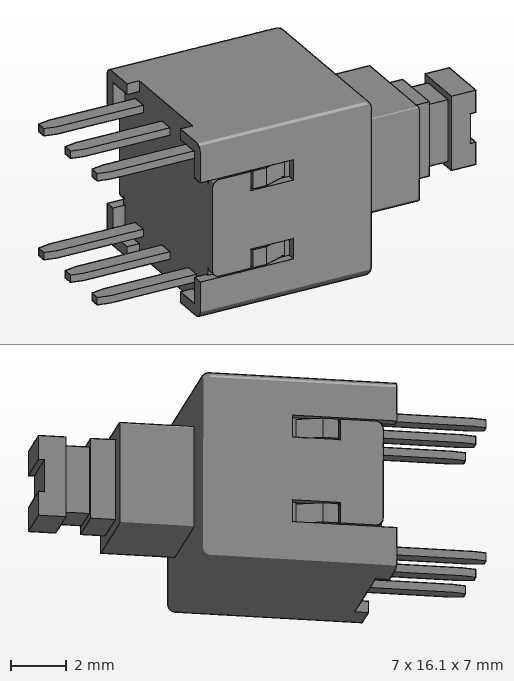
import cadquery as cq


housing_width = 7.0
housing_length = 6.6
housing_edge_radius = 0.3

foot_height = 0.5
foot_thickness = 0.43
foot_span = 1.5

tab_thickness = 0.33
tab_gap = 0.05
tab_corner_radius = 0.28

window_length = 1.75
window_height = 0.82
window_start = 1.56
latch_end_gap = 0.08
latch_flat_length = 0.56
latch_ramp_length = 0.92

bushing_width = 3.8
bushing_end = 9.3
bushing_edge_radius = 0.1
plunger_end = 12.1
plunger_width = 2.0
plunger_height = 3.0
head_length = 1.0
neck_length = 0.9
neck_width = 1.5
neck_height = 2.5
head_slot_height = 1.2
head_slot_depth = 0.22

pin_pitch = 2.0
pin_row_offset = 2.5
pin_length = 4.0
pin_width = 0.6
pin_thickness = 0.3
pin_tip_length = 0.5
pin_tip_inset = 0.1

half_width = housing_width / 2
foot_gap_half = half_width - foot_span
tab_half = foot_gap_half - tab_gap


def block(x_range, y_range, z_range):
    """Axis-aligned box given by its (low, high) limits on each axis."""
    limits = (x_range, y_range, z_range)
    sizes = [high - low for low, high in limits]
    corner = tuple(low for low, high in limits)
    return cq.Workplane("XY").box(*sizes, centered=False).translate(corner)


def centered_block(width, height, y_start, y_end):
    """Box centered on the plunger axis."""
    return block((-width / 2, width / 2), (y_start, y_end), (-height / 2, height / 2))


def make_housing():
    """Rounded housing whose pin end is cut back to leave the corner feet."""
    housing = centered_block(housing_width, housing_width, -foot_height, housing_length)
    housing = housing.edges("|Y").fillet(housing_edge_radius)
    housing = housing.faces(">Y").edges().fillet(housing_edge_radius)

    inner_width = housing_width - 2 * foot_thickness
    foot_gap = 2 * foot_gap_half
    for width, height in (
        (inner_width, inner_width),
        (foot_gap, housing_width),
        (housing_width, foot_gap),
    ):
        housing = housing.cut(centered_block(width, height, -foot_height, 0))
    return housing


def make_side_tab_gap():
    """Material removed around the rounded tab on the -X side."""
    x_range = (-half_width, -half_width + tab_thickness)
    y_range = (0, window_start)
    opening = block(x_range, y_range, (-foot_gap_half, foot_gap_half))
    tab = block(x_range, y_range, (-tab_half, tab_half))
    tab = tab.faces("<Y").edges("|X").fillet(tab_corner_radius)
    return opening.cut(tab)


def make_window_recess():
    """Upper window on the -X side, less the ramped latch standing in it."""
    outer_x = -half_width
    inner_x = outer_x + tab_thickness
    bottom_z = foot_gap_half - window_height
    recess = block(
        (outer_x, inner_x),
        (window_start, window_start + window_length),
        (bottom_z, foot_gap_half),
    )

    latch_start = window_start + latch_end_gap
    ramp_start = latch_start + latch_flat_length
    ramp_end = ramp_start + latch_ramp_length
    latch = (
        cq.Workplane("XY", origin=(0, 0, bottom_z + tab_gap))
        .moveTo(inner_x, latch_start)
        .lineTo(outer_x, latch_start)
        .lineTo(outer_x, ramp_start)
        .lineTo(inner_x, ramp_end)
        .close()
        .extrude(window_height - 2 * tab_gap)
    )
    return recess.cut(latch)


def cut_sides(housing):
    """Cut the tab gaps and latch windows into both sides."""
    upper_window = make_window_recess()
    for recess in (make_side_tab_gap(), upper_window, upper_window.mirror("XY")):
        housing = housing.cut(recess).cut(recess.mirror("YZ"))
    return housing


def make_bushing():
    """Square bushing that guides the plunger."""
    bushing = centered_block(bushing_width, bushing_width, housing_length, bushing_end)
    return bushing.edges("|Y").fillet(bushing_edge_radius)


def make_plunger():
    """Collar, neck and slotted head beyond the bushing."""
    head_start = plunger_end - head_length
    neck_start = head_start - neck_length
    collar = centered_block(plunger_width, plunger_height, bushing_end, neck_start)
    neck = centered_block(neck_width, neck_height, neck_start, head_start)
    head = centered_block(plunger_width, plunger_height, head_start, plunger_end)
    slot = centered_block(
        plunger_width, head_slot_height, plunger_end - head_slot_depth, plunger_end
    )
    return collar.union(neck).union(head.cut(slot))


def make_pin(x, z):
    """Flat pin starting on the base face, with a tip narrowed in X."""
    half = pin_width / 2
    tip_half = half - pin_tip_inset
    taper_start = pin_tip_length - pin_length
    return (
        cq.Workplane("XY")
        .polyline([
            (-half, 0),
            (-half, taper_start),
            (-tip_half, -pin_length),
            (tip_half, -pin_length),
            (half, taper_start),
            (half, 0),
        ])
        .close()
        .extrude(pin_thickness)
        .translate((x, 0, z - pin_thickness / 2))
    )


def add_pins(body):
    """Add the two rows of three pins."""
    for z in (-pin_row_offset, pin_row_offset):
        for x in (-pin_pitch, 0, pin_pitch):
            body = body.union(make_pin(x, z))
    return body


body = cut_sides(make_housing())
body = body.union(make_bushing()).union(make_plunger())
result = add_pins(body)